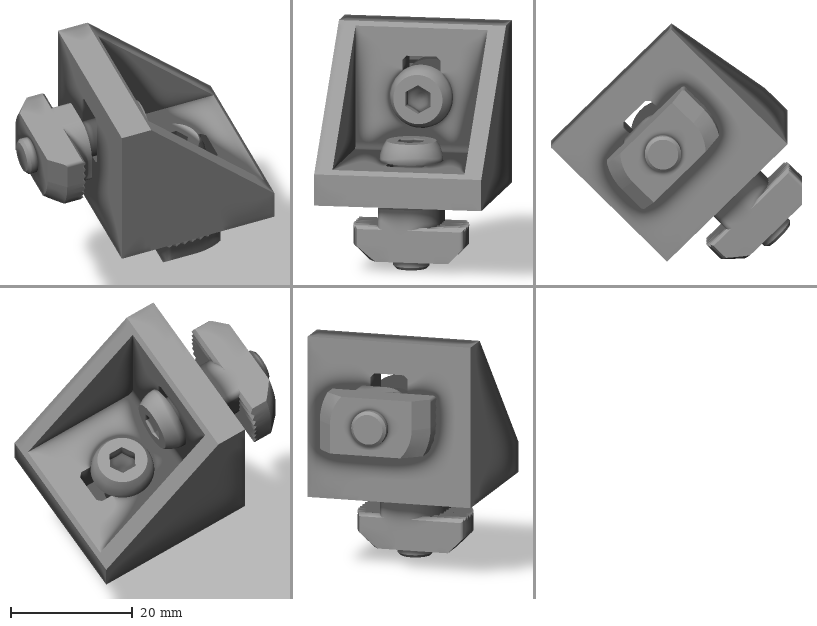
import cadquery as cq
import math

OVERALL_SIZE = 39.2
BRACKET_WIDTH = 28.0
LEG_LENGTH = 27.13
LEG_END_THICKNESS = 5.2
PLATE_THICKNESS = 5.9
POCKET_WIDTH = 22.1
INNER_CORNER_RADIUS = 1.05

AXIS_DISTANCE = 15.0
SLOT_WIDTH = 6.35
SLOT_REACH = 6.65
SLOT_CORNER_CHAMFER = 0.65

SCREW_DIAMETER = 6.0
SCREW_TIP_DIAMETER = 5.0
SCREW_PROTRUSION = OVERALL_SIZE - LEG_LENGTH
HEAD_DIAMETER = 10.5
HEAD_FLAT_DIAMETER = 8.25
HEAD_HEIGHT = 3.3
SOCKET_ACROSS_FLATS = 4.15
SOCKET_DEPTH = 2.08
SOCKET_CONE_ANGLE = 120

NUT_WIDTH = 9.72
NUT_LENGTH = 19.05
HUB_CORNER_RADIUS = 0.95
FLANGE_CORNER_RADIUS = 0.5
HUB_LEVEL = 1.6
TOOTH_TIP_LEVEL = 4.6
TOOTH_DEPTH = 0.55
TOOTH_PITCH = 1.4
NUT_END_LEVEL = 10.4
END_TAPER = 2.5


def make_slot():
    """Slot cutter along Z, with the screw axis at the origin and the long end towards +Y."""
    near_end = -SLOT_WIDTH / 2
    length = SLOT_REACH - near_end
    return (
        cq.Workplane("XY")
        .box(SLOT_WIDTH, length, PLATE_THICKNESS, centered=(True, False, False))
        .edges("|Z")
        .chamfer(SLOT_CORNER_CHAMFER)
        .translate((0, near_end, 0))
    )


def make_bracket():
    """Corner block with a sloping back, a pocket between two side walls and a slot in each plate."""
    block = (
        cq.Workplane("YZ")
        .moveTo(0, 0)
        .lineTo(LEG_LENGTH, 0)
        .lineTo(LEG_LENGTH, LEG_END_THICKNESS)
        .lineTo(LEG_END_THICKNESS, LEG_LENGTH)
        .lineTo(0, LEG_LENGTH)
        .close()
        .extrude(BRACKET_WIDTH / 2, both=True)
    )
    pocket_length = LEG_LENGTH - PLATE_THICKNESS
    pocket = (
        cq.Workplane("XY", origin=(0, PLATE_THICKNESS, PLATE_THICKNESS))
        .box(POCKET_WIDTH, pocket_length, pocket_length, centered=(True, False, False))
        .faces("<Y")
        .edges("<Z")
        .fillet(INNER_CORNER_RADIUS)
    )
    bottom_slot = make_slot().translate((0, AXIS_DISTANCE, 0))
    front_slot = bottom_slot.rotate((0, 0, 0), (0, 1, 1), 180)
    return block.cut(pocket).cut(bottom_slot).cut(front_slot)


def make_socket():
    """Hexagonal socket cutter, opening at the top of the head and ending in a cone."""
    corner_radius = SOCKET_ACROSS_FLATS / math.sqrt(3)
    opening = PLATE_THICKNESS + HEAD_HEIGHT
    cone_start = opening - SOCKET_DEPTH
    half_angle = math.radians(SOCKET_CONE_ANGLE / 2)
    cone_tip = cone_start - corner_radius / math.tan(half_angle)
    hexagon = (
        cq.Workplane("XY", origin=(0, 0, cone_tip))
        .polygon(6, 2 * corner_radius)
        .extrude(opening - cone_tip)
        .rotate((0, 0, 0), (0, 0, 1), 30)
    )
    pointed_cylinder = (
        cq.Workplane("XZ")
        .moveTo(0, cone_tip)
        .lineTo(corner_radius, cone_start)
        .lineTo(corner_radius, opening)
        .lineTo(0, opening)
        .close()
        .revolve(360, (0, 0, 0), (0, 1, 0))
    )
    return hexagon.intersect(pointed_cylinder)


def make_screw():
    """Screw along Z, with its head resting on the inner face of the plate."""
    shank_radius = SCREW_DIAMETER / 2
    tip_radius = SCREW_TIP_DIAMETER / 2
    head_radius = HEAD_DIAMETER / 2
    flat_radius = HEAD_FLAT_DIAMETER / 2
    head_top = PLATE_THICKNESS + HEAD_HEIGHT
    tip_chamfer = shank_radius - tip_radius
    inset = head_radius - flat_radius
    dome_radius = (HEAD_HEIGHT**2 + inset**2) / (2 * inset)
    half_angle = math.asin(HEAD_HEIGHT / dome_radius) / 2
    dome_middle = (
        head_radius - dome_radius * (1 - math.cos(half_angle)),
        PLATE_THICKNESS + dome_radius * math.sin(half_angle),
    )
    body = (
        cq.Workplane("XZ")
        .moveTo(0, -SCREW_PROTRUSION)
        .lineTo(tip_radius, -SCREW_PROTRUSION)
        .lineTo(shank_radius, tip_chamfer - SCREW_PROTRUSION)
        .lineTo(shank_radius, PLATE_THICKNESS)
        .lineTo(head_radius, PLATE_THICKNESS)
        .threePointArc(dome_middle, (flat_radius, head_top))
        .lineTo(0, head_top)
        .close()
        .revolve(360, (0, 0, 0), (0, 1, 0))
    )
    return body.cut(make_socket())


def make_rotor(radius, width, corner_radius, start_level, end_level, taper=0):
    """Block between two levels, its (-X, -Y) and (+X, +Y) quadrants round about the screw axis.

    The other two quadrants are square; the whole is trimmed to a width along Y and a corner radius.
    A taper is a 45 degree slope along the outline at the end level, given by its depth.
    """
    diagonal = radius / math.sqrt(2)
    outline = (
        cq.Workplane("XY", origin=(0, 0, -start_level))
        .moveTo(-radius, 0)
        .threePointArc((-diagonal, -diagonal), (0, -radius))
        .lineTo(radius, -radius)
        .lineTo(radius, 0)
        .threePointArc((diagonal, diagonal), (0, radius))
        .lineTo(-radius, radius)
        .close()
    )
    height = end_level - start_level
    block = outline.extrude(-height)
    if taper > 0:
        block = block.faces("<Z").chamfer(taper)
    envelope = (
        cq.Workplane("XY", origin=(0, 0, -end_level))
        .box(2 * radius, width, height, centered=(True, True, False))
        .edges("|Z")
        .fillet(corner_radius)
    )
    return block.intersect(envelope)


def make_tooth_cutter():
    """Cutter that leaves teeth along X on the flange, with a valley at the -Y edge."""
    half_pitch = TOOTH_PITCH / 2
    tooth_count = math.ceil(NUT_WIDTH / TOOTH_PITCH)
    tip_z = -TOOTH_TIP_LEVEL
    valley_z = tip_z - TOOTH_DEPTH
    first_y = -NUT_WIDTH / 2
    zigzag = [(first_y - half_pitch, tip_z)]
    for i in range(tooth_count + 1):
        valley_y = first_y + i * TOOTH_PITCH
        zigzag.append((valley_y, valley_z))
        zigzag.append((valley_y + half_pitch, tip_z))
    last_y = zigzag[-1][0]
    return (
        cq.Workplane("YZ")
        .polyline(zigzag)
        .lineTo(last_y, -HUB_LEVEL)
        .lineTo(first_y - half_pitch, -HUB_LEVEL)
        .close()
        .extrude(NUT_LENGTH, both=True)
    )


def make_nut():
    """T-slot nut on the screw axis: a toothed flange that is swung into the slot, and its hub."""
    flange = make_rotor(
        NUT_LENGTH / 2, NUT_WIDTH, FLANGE_CORNER_RADIUS, TOOTH_TIP_LEVEL, NUT_END_LEVEL, END_TAPER
    )
    toothed_flange = flange.cut(make_tooth_cutter())
    hub = make_rotor(
        NUT_WIDTH / 2, NUT_WIDTH, HUB_CORNER_RADIUS, HUB_LEVEL, NUT_END_LEVEL
    ).rotate((0, 0, 0), (0, 0, 1), 90)
    bore = cq.Workplane("XY").circle(SCREW_DIAMETER / 2).extrude(-NUT_END_LEVEL)
    return toothed_flange.union(hub).cut(bore)


def place_on_bottom(body):
    """Move a fastener body to the slot in the bottom plate."""
    return body.translate((0, AXIS_DISTANCE, 0))


def place_on_front(body):
    """Turn a fastener body to point towards -Y and move it to the slot in the front plate."""
    return body.rotate((0, 0, 0), (1, 0, 0), -90).translate((0, 0, AXIS_DISTANCE))


bracket = make_bracket()
screw = make_screw()
nut = make_nut()

bodies = [bracket.val()]
for place in (place_on_bottom, place_on_front):
    bodies.append(place(screw).val())
    bodies.append(place(nut).val())

result = cq.Compound.makeCompound(bodies)